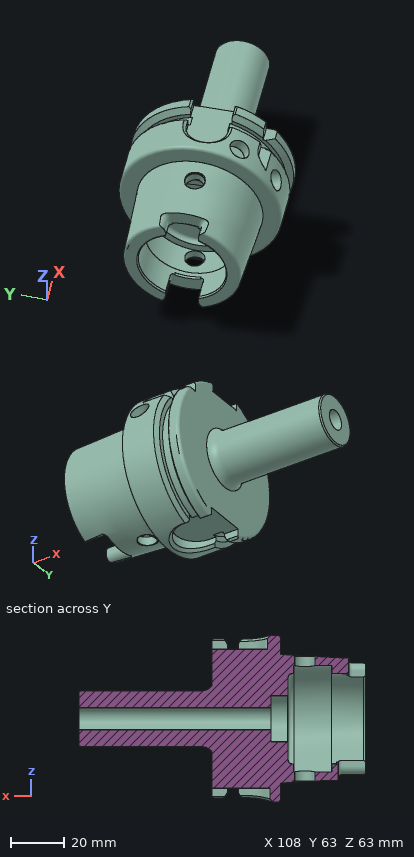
import cadquery as cq
import math


total_length = 108.0
taper_length = 32.0
flange_end = 58.0
shank_start = 61.9
groove_start = 48.0
groove_end = 51.8
front_flank_run = 1.3
rear_flank_run = 1.6

taper_end_radius = 22.8
taper_base_radius = 24.3
flange_diameter = 63.0
flange_radius = flange_diameter / 2
groove_radius = 27.2
front_flank_radius = 29.4
rear_flank_radius = 28.9
shank_radius = 10.6
shank_root_radius = 12.4

nose_round = 1.1
flange_round = 1.3
shank_chamfer = 0.5

mouth_radius = 17.4
bore_radius = 17.0
mouth_chamfer_length = 0.8
undercut_radius = 20.0
undercut_start = 12.9
undercut_end = 27.0
cavity_depth = 29.2
floor_round = 1.4
pocket_radius = 9.0
pocket_chamfer = 0.3
pocket_depth = 6.5
coolant_radius = 4.1

drive_half_width = 6.4
drive_top_depth = 6.4
drive_bottom_depth = 10.3
drive_corner_round = 1.4
lip_round = 3.0
lip_start_height = 18.0

cross_hole_x = 22.9
cross_hole_radius = 3.8
cross_hole_chamfer = 0.4

keyway_floor = 26.2
keyway_center_x = 45.0
keyway_front_chamfer = 1.3
keyway_rear_chamfer = 1.0
keyway_top_half_width = 8.0
keyway_bottom_half_width = 9.0

notch_floor = 20.0
notch_cutter_radius = 7.7
notch_center_x = 44.0
blind_hole_x = 38.2
blind_hole_radius = 4.0
blind_hole_floor = 27.0
notch_angle = 45.0
blind_hole_spread = 18.5


def make_body():
    root_run = shank_start - flange_end
    root_rise = shank_root_radius - shank_radius
    root_arc = (root_run**2 + root_rise**2) / (2 * root_rise)
    half_angle = math.asin(root_run / root_arc) / 2
    root_middle = (
        shank_start - root_arc * math.sin(half_angle),
        shank_radius + root_arc * (1 - math.cos(half_angle)),
    )
    nose_mid = nose_round * (1 - math.sqrt(0.5))
    flange_mid = flange_round * (1 - math.sqrt(0.5))
    outline = (
        cq.Workplane("XY")
        .moveTo(0, 0)
        .lineTo(0, taper_end_radius - nose_round)
        .threePointArc((nose_mid, taper_end_radius - nose_mid), (nose_round, taper_end_radius))
        .lineTo(taper_length, taper_base_radius)
        .lineTo(taper_length, flange_radius - flange_round)
        .threePointArc(
            (taper_length + flange_mid, flange_radius - flange_mid),
            (taper_length + flange_round, flange_radius),
        )
        .lineTo(groove_start - front_flank_run, flange_radius)
        .lineTo(groove_start, front_flank_radius)
        .lineTo(groove_start, groove_radius)
        .lineTo(groove_end, groove_radius)
        .lineTo(groove_end, rear_flank_radius)
        .lineTo(groove_end + rear_flank_run, flange_radius)
        .lineTo(flange_end - flange_round, flange_radius)
        .threePointArc(
            (flange_end - flange_mid, flange_radius - flange_mid),
            (flange_end, flange_radius - flange_round),
        )
        .lineTo(flange_end, shank_root_radius)
        .threePointArc(root_middle, (shank_start, shank_radius))
        .lineTo(total_length - shank_chamfer, shank_radius)
        .lineTo(total_length, shank_radius - shank_chamfer)
        .lineTo(total_length, 0)
        .close()
    )
    return outline.revolve(360, (0, 0, 0), (1, 0, 0))


def make_hollow():
    floor_mid = floor_round * (1 - math.sqrt(0.5))
    pocket_end = cavity_depth + pocket_depth
    outline = (
        cq.Workplane("XY")
        .moveTo(0, 0)
        .lineTo(0, mouth_radius)
        .lineTo(mouth_chamfer_length, bore_radius)
        .lineTo(undercut_start, bore_radius)
        .lineTo(undercut_start, undercut_radius)
        .lineTo(undercut_end, undercut_radius)
        .lineTo(undercut_end, bore_radius)
        .lineTo(cavity_depth - floor_round, bore_radius)
        .threePointArc(
            (cavity_depth - floor_mid, bore_radius - floor_mid),
            (cavity_depth, bore_radius - floor_round),
        )
        .lineTo(cavity_depth, pocket_radius)
        .lineTo(cavity_depth + pocket_chamfer, pocket_radius - pocket_chamfer)
        .lineTo(pocket_end, pocket_radius - pocket_chamfer)
        .lineTo(pocket_end, coolant_radius)
        .lineTo(total_length, coolant_radius)
        .lineTo(total_length, 0)
        .close()
    )
    return outline.revolve(360, (0, 0, 0), (1, 0, 0))


def make_drive_slot(depth):
    lip_half_width = drive_half_width + lip_round
    lip_height = lip_start_height + lip_round
    lip_mid = lip_round * math.sqrt(0.5)
    outer_half_width = lip_half_width + lip_round
    slot = (
        cq.Workplane("YZ")
        .moveTo(-drive_half_width, 0)
        .lineTo(drive_half_width, 0)
        .lineTo(drive_half_width, lip_start_height)
        .threePointArc(
            (lip_half_width - lip_mid, lip_start_height + lip_mid),
            (lip_half_width, lip_height),
        )
        .lineTo(outer_half_width, lip_height)
        .lineTo(outer_half_width, flange_radius)
        .lineTo(-outer_half_width, flange_radius)
        .lineTo(-outer_half_width, lip_height)
        .lineTo(-lip_half_width, lip_height)
        .threePointArc(
            (lip_mid - lip_half_width, lip_start_height + lip_mid),
            (-drive_half_width, lip_start_height),
        )
        .close()
        .extrude(depth)
    )
    slot = slot.faces(">X").edges().fillet(drive_corner_round)
    edge_break = cq.Workplane(
        cq.Solid.makeCone(
            mouth_radius,
            bore_radius,
            mouth_chamfer_length,
            cq.Vector(depth, 0, 0),
            cq.Vector(1, 0, 0),
        )
    )
    slot_width = 2 * (drive_half_width - drive_corner_round)
    sector = cq.Workplane("XY").box(total_length, slot_width, flange_radius, centered=(True, True, False))
    return slot.union(edge_break.intersect(sector))


def make_cross_hole():
    slope = (taper_base_radius - taper_end_radius) / (taper_length - nose_round)
    surface_height = taper_end_radius + slope * (cross_hole_x - nose_round)
    hole = (
        cq.Workplane("XY", origin=(cross_hole_x, 0, -flange_radius))
        .circle(cross_hole_radius)
        .extrude(2 * flange_radius)
    )
    sink_radius = cross_hole_radius + cross_hole_chamfer
    for side in (1, -1):
        sink = cq.Solid.makeCone(
            sink_radius,
            cross_hole_radius,
            cross_hole_chamfer,
            cq.Vector(cross_hole_x, 0, side * surface_height),
            cq.Vector(0, 0, -side),
        )
        hole = hole.union(cq.Workplane(sink))
    return hole


def make_keyway(half_width):
    return (
        cq.Workplane("XY", origin=(0, 0, keyway_floor))
        .moveTo(keyway_center_x, half_width)
        .threePointArc((keyway_center_x - half_width, 0), (keyway_center_x, -half_width))
        .lineTo(total_length, -half_width)
        .lineTo(total_length, half_width)
        .close()
        .extrude(flange_radius)
    )


def make_keyed_bar(start, end, edge_chamfer):
    bar = cq.Workplane("YZ", origin=(start, 0, 0)).circle(flange_radius).extrude(end - start)
    bar = bar.cut(make_keyway(keyway_top_half_width))
    bar = bar.cut(turned_over(make_keyway(keyway_bottom_half_width)))
    opening_height = (keyway_floor + flange_radius) / 2
    edge_margin = 1.1
    for side in (1, -1):
        openings = cq.selectors.BoxSelector(
            (start + edge_margin, -flange_radius / 2, side * opening_height),
            (end - edge_margin, flange_radius / 2, side * 2 * flange_radius),
        )
        bar = bar.edges(openings).chamfer(edge_chamfer)
    return bar


def make_keyed_blank():
    groove_middle = (groove_start + groove_end) / 2
    front = make_keyed_bar(0, groove_middle, keyway_front_chamfer)
    rear = make_keyed_bar(groove_middle, total_length, keyway_rear_chamfer)
    return front.union(rear)


def make_notch():
    cutter_y = -notch_floor - notch_cutter_radius
    straight_length = flange_end + notch_cutter_radius - notch_center_x
    return (
        cq.Workplane("XY", origin=(notch_center_x + straight_length / 2, cutter_y, notch_floor))
        .slot2D(straight_length + 2 * notch_cutter_radius, 2 * notch_cutter_radius)
        .extrude(flange_radius)
    )


def make_blind_hole(angle):
    direction = cq.Vector(0, -math.cos(math.radians(angle)), math.sin(math.radians(angle)))
    hole = cq.Solid.makeCylinder(
        blind_hole_radius,
        flange_radius,
        cq.Vector(blind_hole_x, 0, 0) + direction * blind_hole_floor,
        direction,
    )
    return cq.Workplane(hole)


def turned_over(cutter):
    return cutter.rotate((0, 0, 0), (1, 0, 0), 180)


result = make_body().intersect(make_keyed_blank())
result = result.cut(make_hollow())
result = result.cut(make_drive_slot(drive_top_depth))
result = result.cut(turned_over(make_drive_slot(drive_bottom_depth)))
result = result.cut(make_cross_hole())
result = result.cut(make_notch())
for offset in (-blind_hole_spread, blind_hole_spread):
    result = result.cut(make_blind_hole(notch_angle + offset))